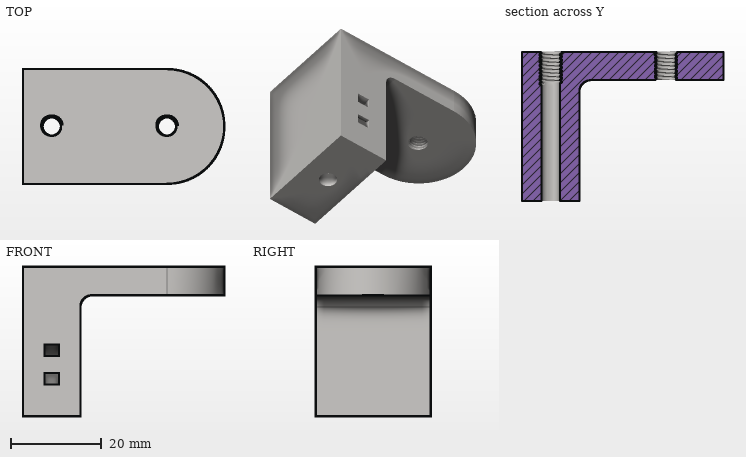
import cadquery as cq
import math

length = 44.45
width = 25.4
height = 33.03
plate_thickness = 6.35
end_radius = width / 2
leg_thickness = width / 2
inner_corner_radius = 2.55

minor_diameter = 4.05
major_diameter = 4.85
thread_pitch = 0.8
groove_root_width = thread_pitch / 8
flank_half_angle = 30.0
groove_overlap = 0.1
thread_start_angle = 130.0
bore_seam_angle = 45.0
hole_xs = (leg_thickness / 2, length - end_radius)

channel_outer_radius = 4.45
channel_inner_radius = 1.9
channel_width = 3.15
channel_center_z = 11.42


def make_body():
    """Leg and plate outline extruded across the width, with the plate end rounded."""
    profile = (
        cq.Workplane("XZ")
        .polyline([
            (0, 0),
            (leg_thickness, 0),
            (leg_thickness, height - plate_thickness),
            (length, height - plate_thickness),
            (length, height),
            (0, height),
        ])
        .close()
        .extrude(width / 2, both=True)
    )
    inner_corner = cq.selectors.NearestToPointSelector((leg_thickness, 0, height - plate_thickness))
    bracket = profile.edges(inner_corner).fillet(inner_corner_radius)
    footprint = (
        cq.Workplane("XY")
        .moveTo(0, -width / 2)
        .lineTo(length - end_radius, -width / 2)
        .threePointArc((length, 0), (length - end_radius, width / 2))
        .lineTo(0, width / 2)
        .close()
        .extrude(height)
    )
    return bracket.intersect(footprint)


def make_thread_groove():
    """Right-handed helical groove about the Z axis, running past both faces of the plate."""
    major_radius = major_diameter / 2
    inner_radius = minor_diameter / 2 - groove_overlap
    root_half = groove_root_width / 2
    mouth_half = root_half + (major_radius - inner_radius) * math.tan(math.radians(flank_half_angle))
    turns_below = math.ceil(plate_thickness / thread_pitch) + 1
    helix = cq.Wire.makeHelix(thread_pitch, (turns_below + 1) * thread_pitch, inner_radius)
    return (
        cq.Workplane("XZ")
        .polyline([
            (inner_radius, -mouth_half),
            (major_radius, -root_half),
            (major_radius, root_half),
            (inner_radius, mouth_half),
        ])
        .close()
        .sweep(cq.Workplane(helix), isFrenet=True)
        .translate((0, 0, -turns_below * thread_pitch))
        .rotate((0, 0, 0), (0, 0, 1), thread_start_angle)
    )


def make_bore():
    """Plain bore running down from the origin, long enough to pass through the leg."""
    return (
        cq.Workplane("XY")
        .circle(minor_diameter / 2)
        .extrude(-height)
        .rotate((0, 0, 0), (0, 0, 1), bore_seam_angle)
    )


def make_strap_channel():
    """Ring about an X axis lying on the front (-Y) face; only its inner half cuts the leg."""
    return (
        cq.Workplane("YZ", origin=((leg_thickness - channel_width) / 2, -width / 2, channel_center_z))
        .circle(channel_outer_radius)
        .circle(channel_inner_radius)
        .extrude(channel_width)
    )


result = make_body().cut(make_strap_channel())
thread_groove = make_thread_groove()
bore = make_bore()
for hole_x in hole_xs:
    hole_top = (hole_x, 0, height)
    result = result.cut(thread_groove.translate(hole_top)).cut(bore.translate(hole_top))